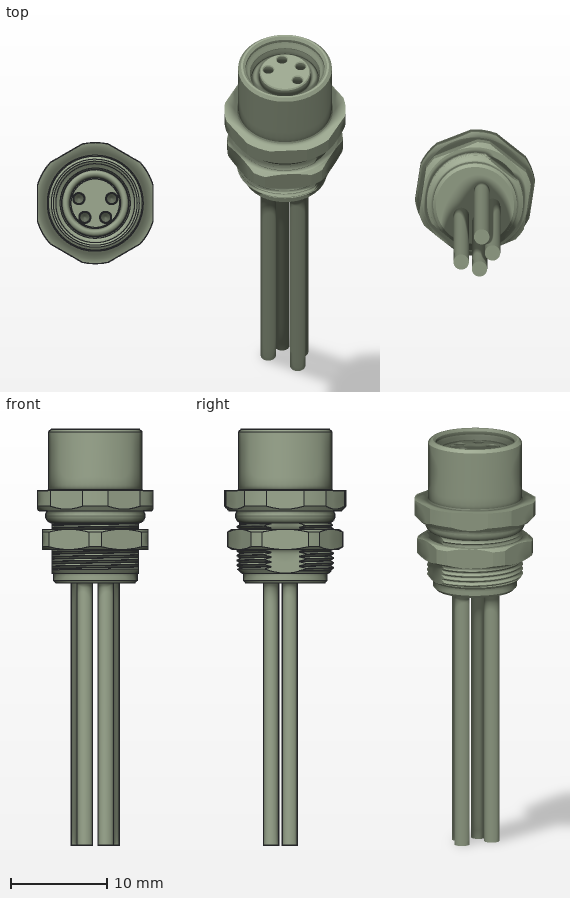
import cadquery as cq
import math


sleeve_top = 8.5
sleeve_radius = 4.87
sleeve_edge_drop = 0.3
sleeve_edge_width = 0.3
sleeve_foot_flare = 0.12

flange_thickness = 2.1
flange_across_flats = 12.0
flange_corner_radius = 6.3
flange_chamfer_width = 0.48
flange_chamfer_height = 0.5

cavity_radius = 4.1
cavity_edge_chamfer = 0.26
cavity_wall_depth = 0.6
cavity_lip_radius = 3.65
cavity_lip_thickness = 0.08
cavity_undercut_radius = 3.9
cavity_undercut_height = 0.18
cavity_floor_radius = 3.5
cavity_depth = 2.0

carrier_radius = 2.63
carrier_chamfer = 0.12
carrier_depth = 0.8
inner_ring_section = 0.42
inner_ring_mid_radius = 3.05
inner_ring_depth = 1.5

contact_positions = [(-1.7, 0.47), (1.7, 0.47), (-1.08, -1.47), (1.08, -1.47)]
socket_radius = 0.53
socket_mouth_chamfer = 0.1
socket_depth = 3.0
socket_tip_height = 0.4
wire_radius = 0.8
wire_length = 27.2

outer_ring_section = 0.75
outer_ring_mid_radius = 4.42
outer_ring_z = -0.5

thread_radius = 5.0
thread_pitch = 0.5
thread_depth = 0.27
thread_land = thread_pitch / 8
thread_top = -1.25
thread_top_chamfer = 0.3
thread_bottom = -6.5
thread_bottom_chamfer_height = 0.5
thread_bottom_chamfer_width = 0.55
thread_start = thread_bottom - 0.265
thread_across_flats = 9.0
end_cone_margin = 0.5
neck_radius = 4.4

tail_radius = 4.36
tail_bottom = -7.5
tail_chamfer = 0.3

nut_top = -1.9
nut_thickness = 2.1
nut_across_flats = 11.0
nut_corner_radius = 6.0
nut_bore_radius = 4.85
nut_chamfer_width = 0.5
nut_chamfer_height = nut_chamfer_width * math.tan(math.radians(30))


def revolve_outline(points):
    """Revolve a closed (radius, z) outline about the Z axis."""
    return cq.Workplane("XZ").polyline(points).close().revolve(360, (0, 0), (0, 1))


def hexagon(across_flats, bottom, height):
    """Hexagonal prism with two of its flats facing +X and -X."""
    across_corners = across_flats / math.cos(math.pi / 6)
    prism = cq.Workplane("XY").polygon(6, across_corners).extrude(height)
    return prism.rotate((0, 0, 0), (0, 0, 1), 30).translate((0, 0, bottom))


def sealing_ring(mid_radius, section_radius, z):
    section = cq.Workplane("XZ").center(mid_radius, z).circle(section_radius)
    return section.revolve(360, (-mid_radius, 0), (-mid_radius, 1))


def make_flange():
    chamfer_radius = flange_corner_radius - flange_chamfer_width
    turned = revolve_outline([
        (0, 0),
        (chamfer_radius, 0),
        (flange_corner_radius, flange_chamfer_height),
        (flange_corner_radius, flange_thickness),
        (0, flange_thickness),
    ])
    return hexagon(flange_across_flats, 0, flange_thickness).intersect(turned)


def make_sleeve():
    return revolve_outline([
        (0, 0),
        (sleeve_radius + sleeve_foot_flare, 0),
        (sleeve_radius + sleeve_foot_flare, flange_thickness),
        (sleeve_radius, flange_thickness + sleeve_foot_flare),
        (sleeve_radius, sleeve_top - sleeve_edge_drop),
        (sleeve_radius - sleeve_edge_width, sleeve_top),
        (0, sleeve_top),
    ])


def make_cavity():
    """Chamfered mouth, 45 degree lead-in to a snap lip, undercut and conical floor edge."""
    lip_depth = cavity_wall_depth + cavity_radius - cavity_lip_radius
    lip_bottom_depth = lip_depth + cavity_lip_thickness
    undercut_depth = lip_bottom_depth + cavity_undercut_height
    cone_end_depth = undercut_depth + cavity_undercut_radius - cavity_floor_radius
    return revolve_outline([
        (0, sleeve_top - cavity_depth),
        (cavity_floor_radius, sleeve_top - cavity_depth),
        (cavity_floor_radius, sleeve_top - cone_end_depth),
        (cavity_undercut_radius, sleeve_top - undercut_depth),
        (cavity_undercut_radius, sleeve_top - lip_bottom_depth),
        (cavity_lip_radius, sleeve_top - lip_bottom_depth),
        (cavity_lip_radius, sleeve_top - lip_depth),
        (cavity_radius, sleeve_top - cavity_wall_depth),
        (cavity_radius, sleeve_top - cavity_edge_chamfer),
        (cavity_radius + cavity_edge_chamfer, sleeve_top),
        (0, sleeve_top),
    ])


def make_carrier():
    carrier_top = sleeve_top - carrier_depth
    carrier = cq.Workplane("XY").circle(carrier_radius).extrude(carrier_top)
    carrier = carrier.faces(">Z").chamfer(carrier_chamfer)
    ring_z = sleeve_top - inner_ring_depth - inner_ring_section
    return carrier.union(sealing_ring(inner_ring_mid_radius, inner_ring_section, ring_z))


def make_contact_socket():
    """Blind contact hole, with a conical bottom, on the Z axis."""
    socket_top = sleeve_top - carrier_depth
    socket_bottom = socket_top - socket_depth
    return revolve_outline([
        (0, socket_bottom - socket_tip_height),
        (socket_radius, socket_bottom),
        (socket_radius, socket_top - socket_mouth_chamfer),
        (socket_radius + socket_mouth_chamfer, socket_top),
        (0, socket_top),
    ])


def make_thread_groove():
    """Right-hand helical groove, with narrow flat root, running past both thread ends."""
    overlap = 0.05
    flank_slope = (thread_pitch / 2 - thread_land) / thread_depth
    root_half_width = thread_land / 2
    outer_half_width = root_half_width + flank_slope * (thread_depth + overlap)
    root_radius = thread_radius - thread_depth
    outer_radius = thread_radius + overlap
    length = thread_top + thread_pitch - thread_start
    path = cq.Wire.makeHelix(thread_pitch, length, thread_radius)
    profile = cq.Workplane("XZ").polyline([
        (root_radius, -root_half_width),
        (outer_radius, -outer_half_width),
        (outer_radius, outer_half_width),
        (root_radius, root_half_width),
    ]).close()
    groove = profile.sweep(cq.Workplane(path), isFrenet=True)
    return groove.translate((0, 0, thread_start))


def make_shank():
    """Threaded cylinder with conical ends and flats facing +X and -X."""
    runout = thread_pitch
    blank = cq.Workplane("XY").workplane(offset=thread_bottom - 2 * runout).circle(thread_radius)
    blank = blank.extrude(thread_top - thread_bottom + 4 * runout)
    threaded = blank.cut(make_thread_groove())
    slab = cq.Workplane("XY").box(thread_across_flats, 4 * thread_radius, 4 * thread_radius)
    bottom_slope = thread_bottom_chamfer_height / thread_bottom_chamfer_width
    bottom_rise = (thread_bottom_chamfer_width + end_cone_margin) * bottom_slope
    end_cones = revolve_outline([
        (0, thread_bottom),
        (thread_radius - thread_bottom_chamfer_width, thread_bottom),
        (thread_radius + end_cone_margin, thread_bottom + bottom_rise),
        (thread_radius + end_cone_margin, thread_top - thread_top_chamfer - end_cone_margin),
        (thread_radius - thread_top_chamfer, thread_top),
        (0, thread_top),
    ])
    return threaded.intersect(slab).intersect(end_cones)


def make_tail():
    tail = cq.Workplane("XY").workplane(offset=tail_bottom).circle(tail_radius)
    tail = tail.extrude(thread_bottom - tail_bottom)
    return tail.faces("<Z").chamfer(tail_chamfer)


def make_nut():
    nut_bottom = nut_top - nut_thickness
    chamfer_radius = nut_corner_radius - nut_chamfer_width
    turned = revolve_outline([
        (nut_bore_radius, nut_bottom),
        (chamfer_radius, nut_bottom),
        (nut_corner_radius, nut_bottom + nut_chamfer_height),
        (nut_corner_radius, nut_top - nut_chamfer_height),
        (chamfer_radius, nut_top),
        (nut_bore_radius, nut_top),
    ])
    return hexagon(nut_across_flats, nut_bottom, nut_thickness).intersect(turned)


def make_wires():
    wires = cq.Workplane("XY").workplane(offset=tail_bottom).pushPoints(contact_positions)
    return wires.circle(wire_radius).extrude(-wire_length)


neck = cq.Workplane("XY").circle(neck_radius).extrude(thread_top)
outer_ring = sealing_ring(outer_ring_mid_radius, outer_ring_section, outer_ring_z)
below_flange = cq.Workplane("XY").circle(2 * thread_radius).extrude(2 * thread_top)

result = make_shank().union(make_nut())
result = result.union(make_tail()).union(neck).union(outer_ring.intersect(below_flange))
result = result.union(make_flange()).union(make_sleeve())
result = result.cut(make_cavity()).union(make_carrier())
for x, y in contact_positions:
    result = result.cut(make_contact_socket().translate((x, y, 0)))
result = result.union(make_wires())